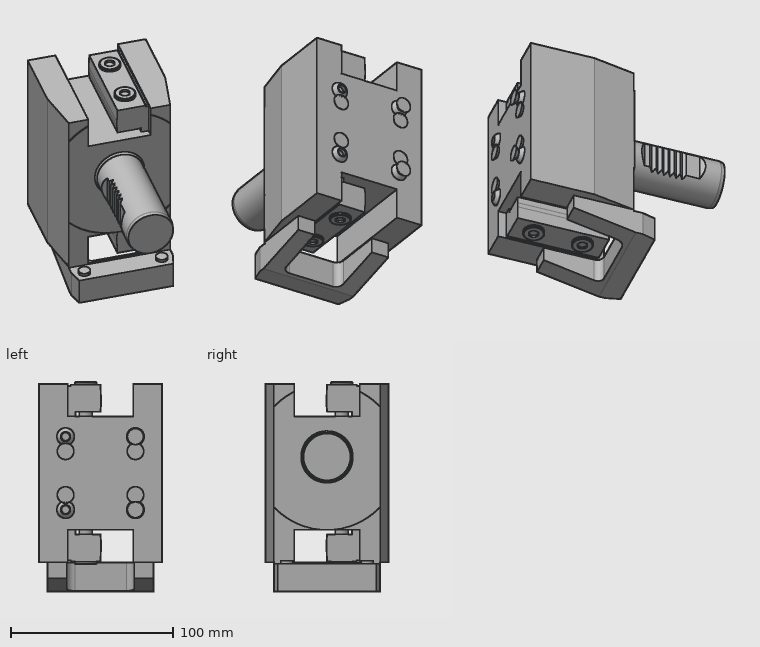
import cadquery as cq


body_length = 69.7
body_width = 76.0
body_top = 45.0
body_bottom = -65.0
taper_start = 41.6
rear_width = 65.4
slot_width = 40.2
slot_depth = 20.1
register_radius = 45.0
register_thickness = 0.4
collar_radius = 16.0
collar_length = 1.5
shank_radius = 15.0
shank_end = 136.2
shank_chamfer_length = 2.7
shank_chamfer_depth = 0.5
flat_depth = 2.8
flat_start = 84.3
flat_end = 120.5
tooth_pitch = 4.0
tooth_count = 6
first_tooth = 89.8
bar_start = 5.4
bar_length = 60.0
bar_height = 16.9
bar_recess = 0.4
bar_bulge = 0.4
bulge_top = 8.8
bulge_height = 3.3
toe_width = 4.8
ledge_width = 1.7
ledge_depth = 0.8
screw_positions = (19.3, 51.3)
screw_y = 9.0
screw_radius = 4.1
head_radius = 6.7
head_height = 1.7
head_chamfer = 0.5
socket_radius = 3.1
socket_depth = 1.4
nozzle_y = 21.5
nozzle_offset = 22.5
ball_radius = 5.4
ball_mid_radius = 4.5
ball_tip_radius = 3.0
ball_height = 2.7
bore_radius = 2.5
spray_radius = 5.0
nozzle_height = 5.4
plug_offset = 13.5
plug_radius = 5.1
plug_neck_radius = 3.5
plug_height = 1.8
lug_start = 30.2
lug_end = 84.3
lug_height = 18.0
lug_nose_height = 9.9
lug_slope_end = 70.7
lug_step = 0.8
lug_taper_start = 75.3
lug_end_width = 60.6
pocket_width = 41.3
pocket_end = 68.0
pocket_corner = 4.8
button_x = 77.2
button_y = 24.9
button_radius = 3.7
button_height = 1.8

body_middle = (body_top + body_bottom) / 2
slot_floor = body_top - slot_depth
half_slot = slot_width / 2
register_face = body_length + register_thickness
lug_bottom = body_bottom - lug_height
bar_top = body_top - bar_recess


def cylinder_x(radius, start, end):
    """Cylinder on the X axis between two X positions."""
    return cq.Workplane("YZ", origin=(start, 0, 0)).circle(radius).extrude(end - start)


def tapered_outline(start, taper, end, width, end_width, bottom, height):
    """Plate seen along Z: parallel sides that draw in towards the far end."""
    points = [
        (start, -width / 2),
        (taper, -width / 2),
        (end, -end_width / 2),
        (end, end_width / 2),
        (taper, width / 2),
        (start, width / 2),
    ]
    return cq.Workplane("XY", origin=(0, 0, bottom)).polyline(points).close().extrude(height)


def make_block():
    """Tapered block with the round register face, slotted at top and bottom."""
    block_height = body_top - body_bottom
    block = tapered_outline(
        0, taper_start, body_length, body_width, rear_width, body_bottom, block_height
    )
    register_limit = cq.Workplane("XY").box(2 * register_face, rear_width, 2 * register_radius)
    register = cylinder_x(register_radius, body_length, register_face).intersect(register_limit)
    block = block.union(register)
    for side in (1, -1):
        slot_center = body_middle + side * (block_height - slot_depth) / 2
        slot = cq.Workplane("XY", origin=(0, 0, slot_center))
        block = block.cut(slot.box(4 * body_length, slot_width, slot_depth))
    return block


def make_shank():
    """Round shank with a tapered collar at its root, end chamfer and a toothed flat on the -Y side."""
    profile = [
        (body_length, 0),
        (body_length, collar_radius),
        (register_face, collar_radius),
        (register_face + collar_length, shank_radius),
        (shank_end - shank_chamfer_length, shank_radius),
        (shank_end, shank_radius - shank_chamfer_depth),
        (shank_end, 0),
    ]
    shank = cq.Workplane("XY").polyline(profile).close().revolve(360, (0, 0, 0), (1, 0, 0))

    flat_y = flat_depth - shank_radius
    tooth_depth = tooth_pitch / 2
    outline = [(flat_start - flat_depth, -shank_radius), (flat_start, flat_y)]
    for i in range(tooth_count):
        groove_x = first_tooth + i * tooth_pitch
        outline.append((groove_x - tooth_depth, flat_y))
        outline.append((groove_x, flat_y + tooth_depth))
    outline.append((groove_x + tooth_depth, flat_y))
    outline += [(flat_end, flat_y), (flat_end + flat_depth, -shank_radius)]
    cutter = cq.Workplane("XY").polyline(outline).close().extrude(shank_radius, both=True)
    return shank.cut(cutter)


def make_clamp():
    """Upper clamping bar, standing on its toe in the slot, with two screws."""
    bar_bottom = bar_top - bar_height
    section = [
        (half_slot, slot_floor),
        (half_slot, bar_top - ledge_depth),
        (half_slot - ledge_width, bar_top - ledge_depth),
        (half_slot - ledge_width, bar_top),
        (0, bar_top),
        (-bar_bulge, bar_top - bulge_top),
        (-bar_bulge, bar_top - bulge_top - bulge_height),
        (0, bar_bottom),
        (half_slot - toe_width, bar_bottom),
        (half_slot - toe_width, slot_floor),
    ]
    clamp = cq.Workplane("YZ", origin=(bar_start, 0, 0)).polyline(section).close().extrude(bar_length)
    for x in screw_positions:
        stem = cq.Workplane("XY", origin=(x, screw_y, slot_floor))
        clamp = clamp.union(stem.circle(screw_radius).extrude(bar_bottom - slot_floor))
        head = cq.Workplane("XY", origin=(x, screw_y, bar_top)).circle(head_radius).extrude(head_height)
        head = head.faces(">Z").chamfer(head_chamfer)
        socket = cq.Workplane("XY", origin=(x, screw_y, bar_top + head_height))
        clamp = clamp.union(head).cut(socket.circle(socket_radius).extrude(-socket_depth))
    return clamp


def make_nozzle(y, z, spraying):
    """Ball nozzle on the front face: a spraying one carries a flared jet, any other is bored."""
    inner_radius = 0 if spraying else bore_radius
    outline = (
        cq.Workplane("XY")
        .moveTo(0, inner_radius)
        .lineTo(0, ball_radius)
        .threePointArc((-ball_height / 2, ball_mid_radius), (-ball_height, ball_tip_radius))
        .lineTo(-ball_height, bore_radius)
    )
    if spraying:
        outline = outline.lineTo(-nozzle_height, spray_radius).lineTo(-nozzle_height, 0)
    return outline.close().revolve(360, (0, 0, 0), (1, 0, 0)).translate((0, y, z))


def make_plug(y, z):
    """Plug on the front face, flaring outwards from its neck."""
    outline = [(0, 0), (0, plug_neck_radius), (-plug_height, plug_radius), (-plug_height, 0)]
    plug = cq.Workplane("XY").polyline(outline).close().revolve(360, (0, 0, 0), (1, 0, 0))
    return plug.translate((0, y, z))


def make_lug():
    """Wedge-shaped lug under the block, hollowed for the lower clamp, with two buttons."""
    lug = tapered_outline(
        lug_start, lug_taper_start, lug_end, rear_width, lug_end_width, lug_bottom, lug_height
    )
    side_profile = [
        (lug_start, body_bottom),
        (body_length, body_bottom),
        (body_length, body_bottom - lug_step),
        (lug_end, body_bottom - lug_step),
        (lug_end, lug_bottom),
        (lug_slope_end, lug_bottom),
        (lug_start, body_bottom - lug_nose_height),
    ]
    lug = lug.intersect(cq.Workplane("XZ").polyline(side_profile).close().extrude(body_width, both=True))
    pocket = (
        cq.Workplane("XY", origin=(0, 0, lug_bottom))
        .rect(2 * pocket_end, pocket_width)
        .extrude(lug_height)
        .edges("|Z")
        .fillet(pocket_corner)
    )
    buttons = (
        cq.Workplane("XY", origin=(button_x, 0, body_bottom - lug_step))
        .pushPoints([(0, button_y), (0, -button_y)])
        .circle(button_radius)
        .extrude(button_height)
    )
    return lug.cut(pocket).union(buttons)


upper_clamp = make_clamp()
lower_clamp = upper_clamp.mirror("XY").translate((0, 0, 2 * body_middle))
result = make_block().union(make_lug()).union(make_shank()).union(upper_clamp).union(lower_clamp)

for side_y in (nozzle_y, -nozzle_y):
    for direction in (1, -1):
        plug = make_plug(side_y, body_middle + direction * plug_offset)
        nozzle_z = body_middle + direction * nozzle_offset
        nozzle = make_nozzle(side_y, nozzle_z, spraying=side_y < 0)
        result = result.union(plug).union(nozzle)